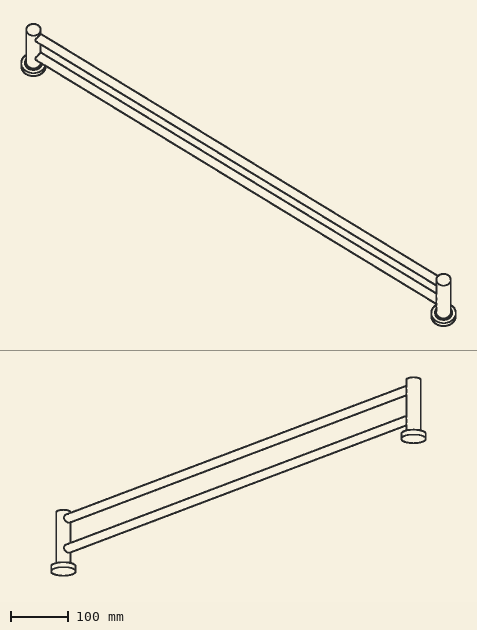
import cadquery as cq

length = 930.0
height = 110.0

flange_diameter = 43.0
flange_height = 9.0
collar_diameter = 30.0
collar_height = 2.0
post_diameter = 25.0
post_offset = (length - flange_diameter) / 2
post_sides = (-1, 1)

rail_diameter = 16.0
rail_spacing = 56.0
upper_rail_drop = 15.0
upper_rail_z = height - upper_rail_drop
rail_heights = (upper_rail_z - rail_spacing, upper_rail_z)


def make_post(x):
    """Round post standing on a wide flange with a small collar around its root."""
    base = cq.Workplane("XY").center(x, 0)
    flange = base.circle(flange_diameter / 2).extrude(flange_height)
    collar = base.circle(collar_diameter / 2).extrude(flange_height + collar_height)
    column = base.circle(post_diameter / 2).extrude(height)
    return flange.union(collar).union(column)


def make_rail(z, posts):
    """Round rail between the post axes, its ends coped to the post surfaces."""
    rail = (
        cq.Workplane("YZ", origin=(-post_offset, 0, z))
        .circle(rail_diameter / 2)
        .extrude(2 * post_offset)
    )
    for post in posts:
        rail = rail.cut(post)
    return rail


posts = [make_post(side * post_offset) for side in post_sides]
rails = [make_rail(z, posts) for z in rail_heights]

result = cq.Compound.makeCompound([body.val() for body in posts + rails])